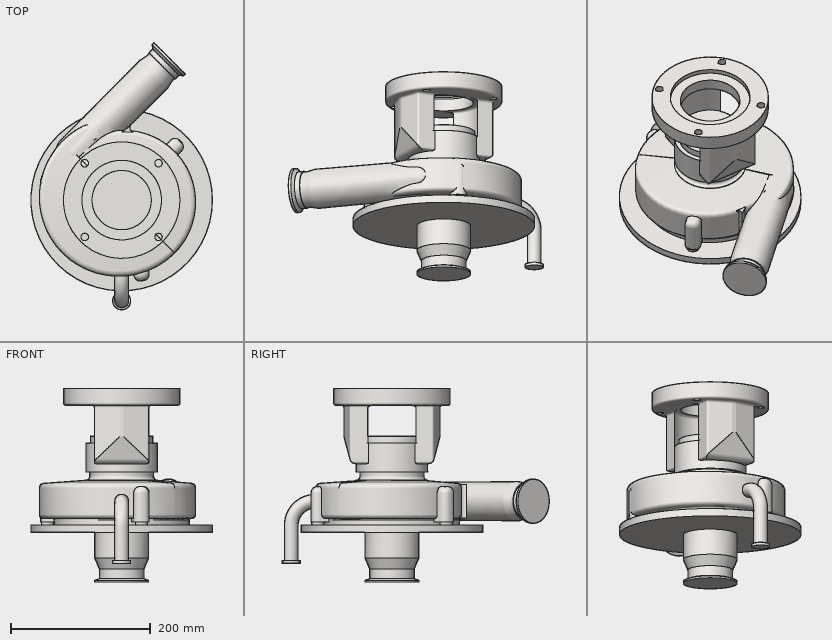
import cadquery as cq

INLET_CONE_BOTTOM = 19.0
INLET_CONE_TOP = 34.5
PLATE_BOTTOM = 71.0
PLATE_TOP = 82.0
VOLUTE_BOTTOM = 91.0
VOLUTE_RIM = 141.0
VOLUTE_CROWN = 146.0
NECK_BOTTOM = 151.5
COLLAR_BOTTOM = 157.5
COLLAR_TOP = 199.0
HUB_TOP = 209.2
FLANGE_BOTTOM = 253.2
FLANGE_TOP = 277.5

INLET_R = 38.5
INLET_NECK_R = 32.0
FERRULE_EDGE = 2.5
FERRULE_HEIGHT = 5.0
PLATE_R = 130.0
SEAT_R = 96.8
SEAT_FILLET = 2.0
NECK_R = 46.0
NECK_FLARE = 5.5
COLLAR_R = 51.3
HUB_R = 44.8

SEAM_ANGLE = 135.0
THROAT_R = 119.7
HALFWAY_R = 107.0
CUTWATER_R = 98.7
VOLUTE_RIM_FILLET = 6.5
VOLUTE_BASE_FILLET = 5.7
THROAT_OVERLAP = 24.0

OUTLET_Z = 116.0
OUTLET_OFFSET = 95.0
OUTLET_R = 28.3
OUTLET_THROAT_R = 27.5
OUTLET_NOSE = 26.8

OUTLET_PIPE_END = 159.0
OUTLET_CONE_END = 164.5
OUTLET_CONE_END_R = 27.0
OUTLET_GROOVE = 172.0
OUTLET_GROOVE_R = 25.5
OUTLET_NECK_START = 176.7
OUTLET_NECK_R = 26.8
OUTLET_FLARE = 184.5
OUTLET_FERRULE = 188.2
OUTLET_FERRULE_R = 31.7
OUTLET_FACE = 192.0

DRAIN_R = 10.0
DRAIN_BEND_R = 34.5
DRAIN_Y = -144.2
DRAIN_BOTTOM = 26.8
DRAIN_FERRULE_R = 13.0
DRAIN_FERRULE_HEIGHT = 4.2

PAD_ANGLES = (-75, 45, 165)
PAD_REACH = 119.5
PAD_INNER = 88.0
PAD_WIDTH = 22.0
PAD_FILLET = 9.5
PAD_DOME_FILLET = 9.0
PAD_BOTTOM = 86.5
PAD_TOP = 137.0
STUD_R = 8.8
STUD_CENTER = 109.8

FLANGE_R = 83.5
FLANGE_EDGE = 3.0
RECESS_R = 57.0
RECESS_DEPTH = 7.0
BORE_R = 42.5
BOLT_SPACING = 105.5
BOLT_D = 10.7

YOKE_BORE_R = 52.0
LEG_HALF_WIDTH = 39.0
LEG_SIDE_Y = 59.5
LEG_RIDGE_Y = 69.0
LEG_RIDGE_HALF = 3.0
LEG_BOTTOM = 169.5
LEG_SLOPE_TOP = 208.0
LEG_FOOT_Y = 58.5
LEG_EDGE_FILLET = 3.0
LEG_FOOT_FILLET = 9.0
LEG_FLARE = 3.5

WEB_ROOT = (-19.0, 82.5)
WEB_VOLUTE_END = (17.0, 98.0)
WEB_PIPE_END = (12.5, 106.7)
WEB_RADIUS = 5.7
WEB_INSET = 1.0


def disc(radius, bottom, top):
    return cq.Workplane("XY").workplane(offset=bottom).circle(radius).extrude(top - bottom)


def inlet_pipe():
    outline = (
        cq.Workplane("XZ")
        .moveTo(0, 0)
        .lineTo(INLET_R, 0)
        .lineTo(INLET_R, FERRULE_EDGE)
        .lineTo(INLET_NECK_R, FERRULE_HEIGHT)
        .lineTo(INLET_NECK_R, INLET_CONE_BOTTOM)
        .lineTo(INLET_R, INLET_CONE_TOP)
        .lineTo(INLET_R, PLATE_BOTTOM)
        .lineTo(0, PLATE_BOTTOM)
        .close()
    )
    return outline.revolve(360, (0, 0, 0), (0, 1, 0))


def volute_half(start_r, end_r, start_angle, overlap=0):
    """Half turn from start_r at start_angle to end_r opposite, begun early by the overlap angle."""
    radius = (start_r + end_r) / 2
    shift = (start_r - end_r) / 2
    body = (
        cq.Workplane("XZ")
        .moveTo(0, VOLUTE_BOTTOM)
        .lineTo(radius, VOLUTE_BOTTOM)
        .lineTo(radius, VOLUTE_RIM)
        .lineTo(NECK_R, VOLUTE_CROWN)
        .lineTo(0, VOLUTE_CROWN)
        .close()
        .revolve(360, (0, 0, 0), (0, 1, 0))
    )
    body = body.edges("<Z").fillet(VOLUTE_BASE_FILLET)
    rim = cq.selectors.RadiusNthSelector(-1)
    body = body.edges(rim).edges(">Z").fillet(VOLUTE_RIM_FILLET)
    half_space = cq.Workplane("XY").box(
        2 * PLATE_R, PLATE_R, FLANGE_TOP, centered=(True, False, False)
    )
    early_start = half_space.rotate((0, 0, 0), (0, 0, 1), -overlap).cut(
        disc(OUTLET_OFFSET, 0, FLANGE_TOP).translate((-shift, 0, 0))
    )
    sector = half_space.union(early_start)
    return (
        body.intersect(sector)
        .translate((shift, 0, 0))
        .rotate((0, 0, 0), (0, 0, 1), start_angle)
    )


def seat():
    """Disc between plate and volute, flared where it meets the volute."""
    outline = (
        cq.Workplane("XZ")
        .moveTo(0, PLATE_TOP)
        .lineTo(SEAT_R, PLATE_TOP)
        .lineTo(SEAT_R, VOLUTE_BOTTOM - SEAT_FILLET)
        .radiusArc((SEAT_R + SEAT_FILLET, VOLUTE_BOTTOM), SEAT_FILLET)
        .lineTo(0, VOLUTE_BOTTOM)
        .close()
    )
    return outline.revolve(360, (0, 0, 0), (0, 1, 0))


def neck():
    outline = (
        cq.Workplane("XZ")
        .moveTo(0, VOLUTE_BOTTOM)
        .lineTo(NECK_R + NECK_FLARE, VOLUTE_BOTTOM)
        .lineTo(NECK_R + NECK_FLARE, NECK_BOTTOM - NECK_FLARE)
        .radiusArc((NECK_R, NECK_BOTTOM), NECK_FLARE)
        .lineTo(NECK_R, COLLAR_BOTTOM)
        .lineTo(0, COLLAR_BOTTOM)
        .close()
    )
    return outline.revolve(360, (0, 0, 0), (0, 1, 0))


def outlet_pipe():
    """Slightly tapered pipe with a rounded nose and a clamp ferrule, laid along the outlet line."""
    outline = (
        cq.Workplane("XY")
        .moveTo(-OUTLET_NOSE, 0)
        .lineTo(-OUTLET_NOSE, OUTLET_THROAT_R - OUTLET_NOSE)
        .radiusArc((0, OUTLET_THROAT_R), OUTLET_NOSE)
        .lineTo(OUTLET_PIPE_END, OUTLET_R)
        .lineTo(OUTLET_CONE_END, OUTLET_CONE_END_R)
        .lineTo(OUTLET_GROOVE, OUTLET_GROOVE_R)
        .lineTo(OUTLET_NECK_START, OUTLET_GROOVE_R)
        .lineTo(OUTLET_NECK_START, OUTLET_NECK_R)
        .lineTo(OUTLET_FLARE, OUTLET_NECK_R)
        .lineTo(OUTLET_FERRULE, OUTLET_FERRULE_R)
        .lineTo(OUTLET_FACE, OUTLET_FERRULE_R)
        .lineTo(OUTLET_FACE, 0)
        .close()
    )
    return (
        outline.revolve(360, (0, 0, 0), (1, 0, 0))
        .translate((0, OUTLET_OFFSET, OUTLET_Z))
        .rotate((0, 0, 0), (0, 0, 1), SEAM_ANGLE - 90)
    )


def drain_elbow():
    bend_z = OUTLET_Z - DRAIN_BEND_R
    bend_y = DRAIN_Y + DRAIN_BEND_R
    path = (
        cq.Workplane("YZ")
        .moveTo(-SEAT_R, OUTLET_Z)
        .lineTo(bend_y, OUTLET_Z)
        .radiusArc((DRAIN_Y, bend_z), -DRAIN_BEND_R)
        .lineTo(DRAIN_Y, DRAIN_BOTTOM)
    )
    pipe = (
        cq.Workplane("XZ", origin=(0, -SEAT_R, OUTLET_Z))
        .circle(DRAIN_R)
        .sweep(path)
    )
    ferrule = disc(DRAIN_FERRULE_R, DRAIN_BOTTOM, DRAIN_BOTTOM + DRAIN_FERRULE_HEIGHT)
    return pipe.union(ferrule.translate((0, DRAIN_Y, 0)))


def mounting_pad(angle):
    pad = (
        cq.Workplane("XY", origin=(PAD_INNER, 0, PAD_BOTTOM))
        .box(PAD_REACH - PAD_INNER, PAD_WIDTH, PAD_TOP - PAD_BOTTOM, centered=(False, True, False))
        .edges(">X and |Z")
        .fillet(PAD_FILLET)
        .faces(">Z")
        .edges("not <X")
        .fillet(PAD_DOME_FILLET)
    )
    stud = disc(STUD_R, PLATE_TOP, VOLUTE_BOTTOM).translate((STUD_CENTER, 0, 0))
    return pad.union(stud).rotate((0, 0, 0), (0, 0, 1), angle)


def yoke_leg():
    """Leg on the -Y side: ridged outer face, sloped and rounded off at the foot."""
    plan = (
        cq.Workplane("XY")
        .workplane(offset=LEG_BOTTOM)
        .polyline([
            (-LEG_HALF_WIDTH, 0),
            (-LEG_HALF_WIDTH, -LEG_SIDE_Y),
            (-LEG_RIDGE_HALF, -LEG_RIDGE_Y),
            (LEG_RIDGE_HALF, -LEG_RIDGE_Y),
            (LEG_HALF_WIDTH, -LEG_SIDE_Y),
            (LEG_HALF_WIDTH, 0),
        ])
        .close()
        .extrude(FLANGE_BOTTOM - LEG_BOTTOM)
        .edges("|Z and (<X or >X)")
        .edges("<Y")
        .fillet(LEG_EDGE_FILLET)
    )
    side = (
        cq.Workplane("YZ")
        .workplane(offset=-LEG_HALF_WIDTH)
        .moveTo(0, LEG_BOTTOM)
        .lineTo(-LEG_FOOT_Y, LEG_BOTTOM)
        .lineTo(-LEG_RIDGE_Y, LEG_SLOPE_TOP)
        .lineTo(-LEG_RIDGE_Y, FLANGE_BOTTOM)
        .lineTo(0, FLANGE_BOTTOM)
        .close()
        .extrude(2 * LEG_HALF_WIDTH)
        .edges("|X and <Z")
        .edges("<Y")
        .fillet(LEG_FOOT_FILLET)
    )
    front = (
        cq.Workplane("XY")
        .box(2 * LEG_HALF_WIDTH, 2 * FLANGE_R, FLANGE_BOTTOM - LEG_BOTTOM, centered=(True, True, False))
        .edges("|Y and <Z")
        .fillet(LEG_EDGE_FILLET)
        .translate((0, 0, LEG_BOTTOM))
    )
    return plan.intersect(side).intersect(front).cut(disc(YOKE_BORE_R, COLLAR_TOP, FLANGE_BOTTOM))


def yoke():
    """Bolting flange carried by two legs, with a stepped bore and four bolt holes."""
    leg = yoke_leg()
    around_joint = cq.selectors.BoxSelector(
        (-FLANGE_R, -FLANGE_R, FLANGE_BOTTOM - LEG_FLARE),
        (FLANGE_R, FLANGE_R, FLANGE_BOTTOM + LEG_FLARE),
    )
    around_axis = cq.selectors.BoxSelector(
        (-LEG_FLARE, -LEG_FLARE, 0),
        (LEG_FLARE, LEG_FLARE, FLANGE_TOP),
    )
    leg_tops = around_joint - around_axis
    return (
        disc(FLANGE_R, FLANGE_BOTTOM, FLANGE_TOP)
        .faces("<Z")
        .edges()
        .fillet(FLANGE_EDGE)
        .union(leg)
        .union(leg.mirror("XZ"))
        .edges(leg_tops)
        .fillet(LEG_FLARE)
        .cut(disc(RECESS_R, FLANGE_TOP - RECESS_DEPTH, FLANGE_TOP))
        .cut(disc(BORE_R, FLANGE_BOTTOM, FLANGE_TOP))
        .faces(">Z")
        .workplane(origin=(0, 0, FLANGE_TOP))
        .rect(BOLT_SPACING, BOLT_SPACING, forConstruction=True)
        .vertices()
        .hole(BOLT_D)
    )


def crotch_web():
    """Web with a hollow edge that fills the wedge between the cutwater and the outlet pipe."""
    return (
        cq.Workplane("XY")
        .workplane(offset=VOLUTE_BOTTOM + WEB_INSET)
        .moveTo(*WEB_ROOT)
        .lineTo(*WEB_VOLUTE_END)
        .radiusArc(WEB_PIPE_END, WEB_RADIUS)
        .close()
        .extrude(VOLUTE_RIM - VOLUTE_BOTTOM - 2 * WEB_INSET)
    )


volute = volute_half(THROAT_R, HALFWAY_R, SEAM_ANGLE, THROAT_OVERLAP).union(
    volute_half(HALFWAY_R, CUTWATER_R, SEAM_ANGLE - 180)
)
result = (
    volute.union(outlet_pipe())
    .union(inlet_pipe())
    .union(disc(PLATE_R, PLATE_BOTTOM, PLATE_TOP))
    .union(seat())
    .union(crotch_web())
    .union(neck())
    .union(disc(COLLAR_R, COLLAR_BOTTOM, COLLAR_TOP))
    .union(disc(HUB_R, COLLAR_TOP, HUB_TOP))
    .union(drain_elbow())
)
for pad_angle in PAD_ANGLES:
    result = result.union(mounting_pad(pad_angle))
result = result.union(yoke())